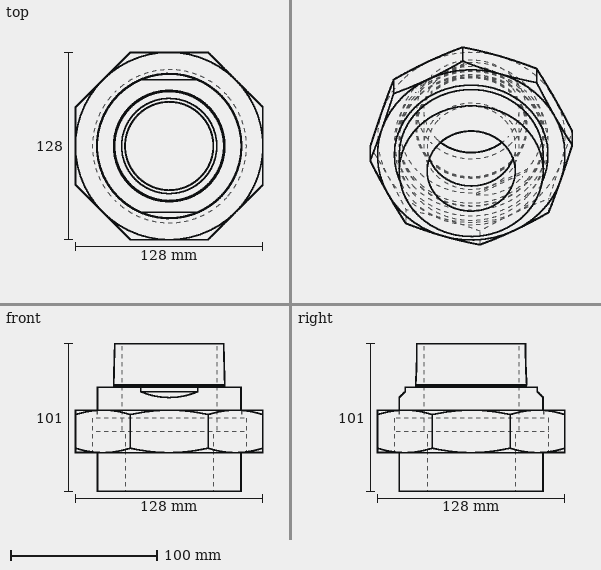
import cadquery as cq
import math

total_height = 101.0
nut_bottom = 26.5
nut_height = 29.0
nut_top = nut_bottom + nut_height
collar_top = 71.2
joint_height = nut_bottom + nut_height / 2

nut_across_flats = 128.0
nut_sides = 8
nut_chamfer_angle = 30.0
running_clearance = 0.4
nut_lip_thickness = 5.1

body_radius = 49.2
joint_radius = 52.5
socket_bore_radius = 30.1
tail_bore_radius = 32.5

pipe_top_radius = 37.2
pipe_root_radius = 38.0
groove_depth = 0.8

flat_offset = 45.2
flat_height = 3.1
flat_runout = body_radius - flat_offset


def revolve_profile(points):
    """Revolve a closed (radius, height) outline around Z."""
    return cq.Workplane("XZ").polyline(points).close().revolve(360, (0, 0, 0), (0, 1, 0))


def make_socket():
    """Lower body: plain barrel with a wider threaded end inside the nut."""
    return revolve_profile([
        (socket_bore_radius, 0),
        (body_radius, 0),
        (body_radius, nut_bottom),
        (joint_radius, nut_bottom),
        (joint_radius, joint_height),
        (socket_bore_radius, joint_height),
    ])


def make_nut():
    """Octagonal union nut, chamfered on both faces, with a retaining lip on top."""
    flat_radius = nut_across_flats / 2
    corner_radius = flat_radius / math.cos(math.pi / nut_sides)
    corner_drop = (corner_radius - flat_radius) * math.tan(math.radians(nut_chamfer_angle))
    lip_bottom = nut_top - nut_lip_thickness
    lip_radius = body_radius + running_clearance

    octagon = (
        cq.Workplane("XY", origin=(0, 0, nut_bottom))
        .transformed(rotate=(0, 0, 180 / nut_sides))
        .polygon(nut_sides, 2 * corner_radius)
        .extrude(nut_height)
    )
    chamfered_ring = revolve_profile([
        (joint_radius, nut_bottom),
        (flat_radius, nut_bottom),
        (corner_radius, nut_bottom + corner_drop),
        (corner_radius, nut_top - corner_drop),
        (flat_radius, nut_top),
        (lip_radius, nut_top),
        (lip_radius, lip_bottom),
        (joint_radius, lip_bottom),
    ])
    return octagon.intersect(chamfered_ring)


def make_flat_cutter():
    """Wedge that cuts the wrench flat on the +Y side of the collar."""
    flat_bottom = collar_top - flat_height
    return (
        cq.Workplane("YZ")
        .polyline([
            (flat_offset, collar_top),
            (flat_offset, flat_bottom),
            (body_radius, flat_bottom - flat_runout),
            (joint_radius, flat_bottom - flat_runout),
            (joint_radius, collar_top),
        ])
        .close()
        .extrude(body_radius, both=True)
    )


def make_tailpiece():
    """Upper body: retained flange, collar with two wrench flats, and tapered pipe end."""
    flange_top = nut_top - nut_lip_thickness
    tailpiece = revolve_profile([
        (tail_bore_radius, joint_height),
        (joint_radius, joint_height),
        (joint_radius, flange_top),
        (body_radius, flange_top),
        (body_radius, collar_top),
        (pipe_root_radius, collar_top),
        (pipe_root_radius - groove_depth, collar_top + groove_depth),
        (pipe_root_radius, collar_top + 2 * groove_depth),
        (pipe_top_radius, total_height),
        (tail_bore_radius, total_height),
    ])
    cutter = make_flat_cutter()
    for angle in (0, 180):
        tailpiece = tailpiece.cut(cutter.rotate((0, 0, 0), (0, 0, 1), angle))
    return tailpiece


socket = make_socket()
nut = make_nut()
tailpiece = make_tailpiece()

result = cq.Compound.makeCompound([socket.val(), nut.solids().val(), tailpiece.solids().val()])